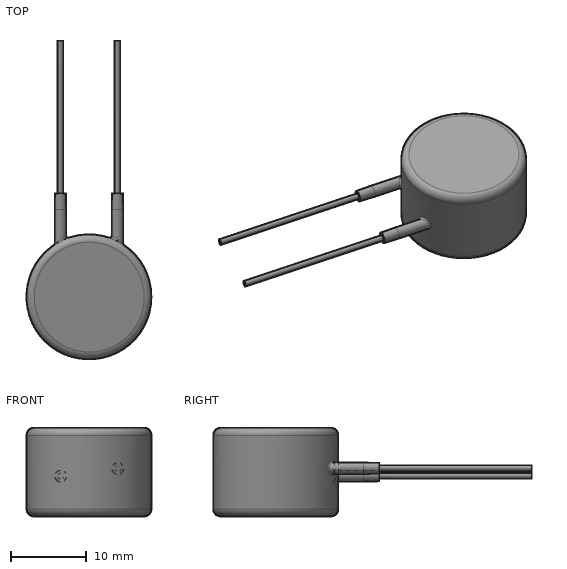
import cadquery as cq

total_length = 42.0
body_diameter = 16.5
body_height = 11.7
body_edge_radius = 1.0

lead_spacing = 7.5
lead_height_offset = 0.5
wire_diameter = 0.8
sleeve_diameter = 1.55
sleeve_tip_diameter = 1.45
taper_start_y = 11.55
sleeve_end_y = 13.65

body_radius = body_diameter / 2
junction_fillet = 0.2
wire_end_y = total_length - body_radius


def make_body():
    """Upright disc, centred on the origin, with rounded rims."""
    disc = cq.Workplane("XY").cylinder(body_height, body_radius)
    return disc.faces("|Z").edges().fillet(body_edge_radius)


def make_lead(x, z):
    """Wire with a tapered insulating sleeve, revolved about an axis along Y."""
    profile = (
        cq.Workplane("XY")
        .moveTo(0, 0)
        .lineTo(sleeve_diameter / 2, 0)
        .lineTo(sleeve_diameter / 2, taper_start_y)
        .lineTo(sleeve_tip_diameter / 2, sleeve_end_y)
        .lineTo(wire_diameter / 2, sleeve_end_y)
        .lineTo(wire_diameter / 2, wire_end_y)
        .lineTo(0, wire_end_y)
        .close()
    )
    return profile.revolve(360, (0, 0, 0), (0, 1, 0)).translate((x, 0, z))


def blend_junctions(part):
    """Round the seams where the two sleeves enter the body wall."""
    seam_zone = cq.selectors.BoxSelector(
        (-lead_spacing, body_radius / 2, -sleeve_diameter),
        (lead_spacing, body_radius, sleeve_diameter),
        boundingbox=True,
    )
    return part.edges(seam_zone).fillet(junction_fillet)


assembly = make_body()
for side in (-1, 1):
    assembly = assembly.union(make_lead(side * lead_spacing / 2, side * lead_height_offset))

result = blend_junctions(assembly)